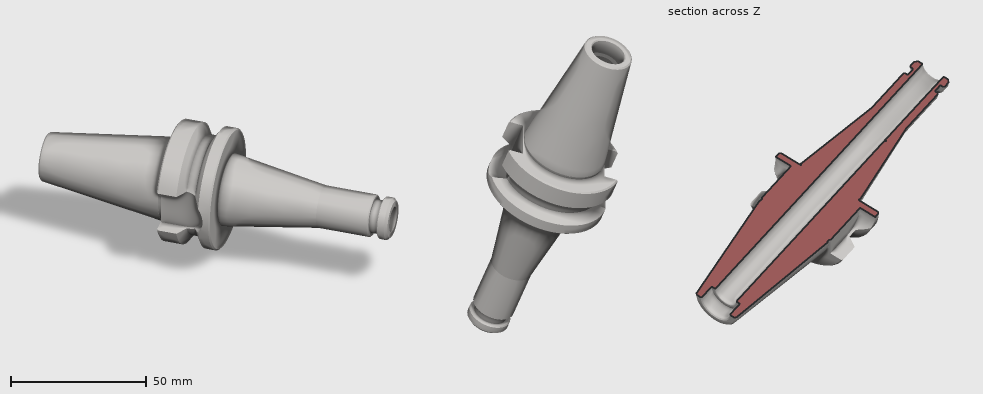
import cadquery as cq

length = 134.5
flange_start = 49.6
flange_end = 70.6
flange_radius = 46.0 / 2
flange_chamfer = 0.5

taper_tip_radius = 9.3
taper_base_radius = 31.7 / 2
taper_end = 48.4
tip_chamfer = 0.5
relief_depth = 0.3

groove_floor_start = 60.0
groove_floor_end = 63.3
groove_floor_radius = 19.0
groove_side_run = 2.7
groove_start = groove_floor_start - groove_side_run
groove_end = groove_floor_end + groove_side_run

cone_base_radius = 13.7
neck_relief_length = 0.4
neck_relief_depth = 0.4
pilot_start = 107.2
pilot_radius = 16.0 / 2
pilot_chamfer = 1.1
ring_groove_start = 127.2
ring_groove_end = 130.4
ring_groove_radius = 12.6 / 2
ring_groove_chamfer = 0.4

slot_width = 16.7
slot_floor = 16.0
slot_tip = 67.9

bore_diameter = 9.5
bore_mouth_diameter = 10.0
counterbore_diameter = 12.9
counterbore_depth = 6.3
counterbore_mouth_chamfer = 0.4


def turned_body():
    """Revolve the outer half profile, given as (x, radius), around the X axis."""
    profile = [
        (0, 0),
        (0, taper_tip_radius - tip_chamfer),
        (tip_chamfer, taper_tip_radius),
        (taper_end, taper_base_radius),
        (taper_end, taper_base_radius - relief_depth),
        (flange_start, taper_base_radius - relief_depth),
        (flange_start, flange_radius - flange_chamfer),
        (flange_start + flange_chamfer, flange_radius),
        (groove_start, flange_radius),
        (groove_floor_start, groove_floor_radius),
        (groove_floor_end, groove_floor_radius),
        (groove_end, flange_radius),
        (flange_end - flange_chamfer, flange_radius),
        (flange_end, flange_radius - flange_chamfer),
        (flange_end, cone_base_radius - neck_relief_depth),
        (flange_end + neck_relief_length, cone_base_radius),
        (pilot_start, pilot_radius),
        (ring_groove_start - ring_groove_chamfer, pilot_radius),
        (ring_groove_start, pilot_radius - ring_groove_chamfer),
        (ring_groove_start, ring_groove_radius),
        (ring_groove_end, ring_groove_radius),
        (ring_groove_end, pilot_radius - ring_groove_chamfer),
        (ring_groove_end + ring_groove_chamfer, pilot_radius),
        (length - pilot_chamfer, pilot_radius),
        (length, pilot_radius - pilot_chamfer),
        (length, 0),
    ]
    return cq.Workplane("XY").polyline(profile).close().revolve(360, (0, 0, 0), (1, 0, 0))


def drive_slot(side):
    """Round-ended cutter, open toward -X; side is -1 for -Y and +1 for +Y."""
    half_width = slot_width / 2
    arc_center = slot_tip - half_width
    return (
        cq.Workplane("XZ", origin=(0, side * slot_floor, 0))
        .moveTo(flange_start, -half_width)
        .lineTo(arc_center, -half_width)
        .threePointArc((slot_tip, 0), (arc_center, half_width))
        .lineTo(flange_start, half_width)
        .close()
        .extrude(-side * flange_radius)
    )


def stepped_bore():
    """Through bore with a chamfered counterbore at the taper end."""
    bore_radius = bore_diameter / 2
    bore_mouth_radius = bore_mouth_diameter / 2
    bore_mouth_chamfer = bore_mouth_radius - bore_radius
    counterbore_radius = counterbore_diameter / 2
    profile = [
        (0, 0),
        (0, counterbore_radius + counterbore_mouth_chamfer),
        (counterbore_mouth_chamfer, counterbore_radius),
        (counterbore_depth, counterbore_radius),
        (counterbore_depth, bore_mouth_radius),
        (counterbore_depth + bore_mouth_chamfer, bore_radius),
        (length, bore_radius),
        (length, 0),
    ]
    return cq.Workplane("XY").polyline(profile).close().revolve(360, (0, 0, 0), (1, 0, 0))


result = turned_body().cut(stepped_bore())
for side in (-1, 1):
    result = result.cut(drive_slot(side))